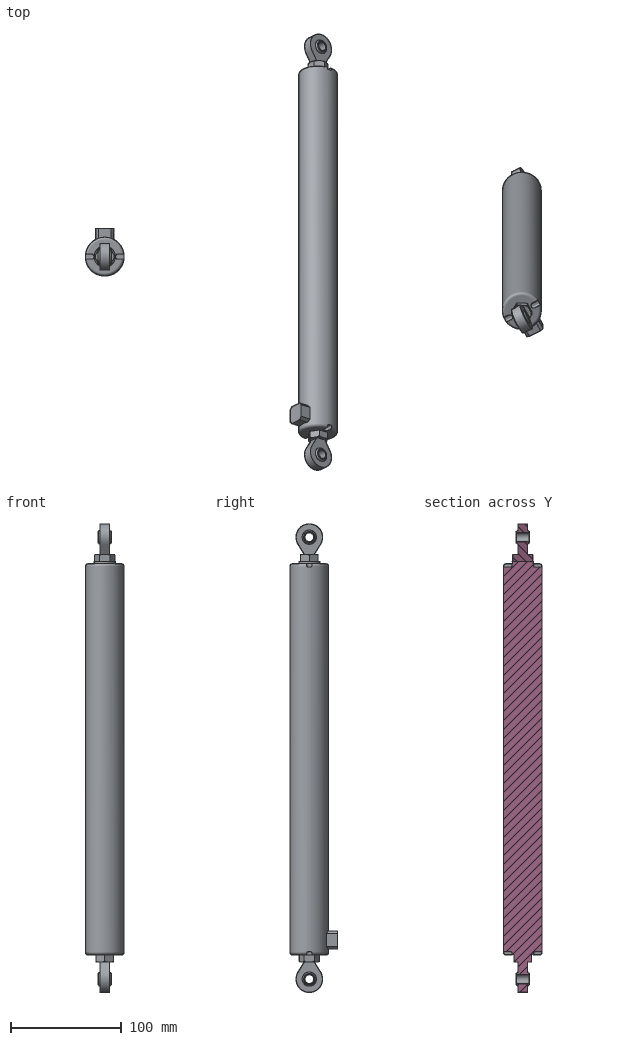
import cadquery as cq
import math

TOTAL_LENGTH = 424.0
TOTAL_DEPTH = 43.2

BARREL_DIAMETER = 35.0
BARREL_BOTTOM = 34.0
BARREL_TOP = 388.0
RIM_FILLET = 2.5
COLLAR_DIAMETER = 19.0
COLLAR_HEIGHT = 2.0

SLOT_WIDTH = 4.5
SLOT_DEPTH = 3.0
SLOT_INNER_RADIUS = 9.7
SLOT_FLOOR_FILLET = 1.25

PORT_SIZE = 16.5
PORT_CORNER_CHAMFER = 2.5
PORT_CENTRE_Z = 47.5

HEX_FLATS = 16.0
HEX_HEIGHT = 6.5
HEX_CHAMFER = 1.0
LOWER_HEX_TURN = 90
UPPER_HEX_TURN = 0
EYE_DIAMETER = 24.0
EYE_THICKNESS = 9.0
NECK_WIDTH = 9.5
BALL_WIDTH = 12.0
BALL_FLAT_DIAMETER = 10.0
BALL_BORE = 8.0

BARREL_RADIUS = BARREL_DIAMETER / 2
PORT_REACH = TOTAL_DEPTH - BARREL_RADIUS
COLLAR_TOP = BARREL_TOP + COLLAR_HEIGHT
EYE_RADIUS = EYE_DIAMETER / 2
HEX_CORNERS = HEX_FLATS / math.cos(math.pi / 6)
BALL_RADIUS = math.hypot(BALL_WIDTH, BALL_FLAT_DIAMETER) / 2


def chamfered_hexagon(turn):
    """Hexagon standing on Z = 0, its corners turned off at the top; with no turn two corners lie on X."""
    prism = cq.Workplane("XY").polygon(6, HEX_CORNERS).extrude(HEX_HEIGHT)
    turned = (
        cq.Workplane("XY")
        .circle(HEX_CORNERS / 2 + HEX_CHAMFER)
        .extrude(HEX_HEIGHT)
        .edges(">Z")
        .chamfer(2 * HEX_CHAMFER)
    )
    return prism.intersect(turned).rotate((0, 0, 0), (0, 0, 1), turn)


def eye_plate(centre_z):
    """Flat eye whose straight flanks run tangentially from its rim down to the hexagon."""
    half_neck = NECK_WIDTH / 2
    drop = centre_z - HEX_HEIGHT
    foot_distance = math.hypot(half_neck, drop)
    tangent_angle = math.acos(EYE_RADIUS / foot_distance) - math.atan2(drop, half_neck)
    tangent_y = EYE_RADIUS * math.cos(tangent_angle)
    tangent_z = centre_z + EYE_RADIUS * math.sin(tangent_angle)
    return (
        cq.Workplane("YZ")
        .moveTo(-half_neck, HEX_HEIGHT)
        .lineTo(half_neck, HEX_HEIGHT)
        .lineTo(tangent_y, tangent_z)
        .threePointArc((0, centre_z + EYE_RADIUS), (-tangent_y, tangent_z))
        .close()
        .extrude(EYE_THICKNESS / 2, both=True)
    )


def bearing_ball(centre_z):
    """Bored ball with flat ends, turned about the X axis and standing proud of the eye on both sides."""
    half_width = BALL_WIDTH / 2
    return (
        cq.Workplane("XY")
        .moveTo(-half_width, BALL_BORE / 2)
        .lineTo(-half_width, BALL_FLAT_DIAMETER / 2)
        .threePointArc((0, BALL_RADIUS), (half_width, BALL_FLAT_DIAMETER / 2))
        .lineTo(half_width, BALL_BORE / 2)
        .close()
        .revolve(360, (0, 0, 0), (1, 0, 0))
        .translate((0, 0, centre_z))
    )


def rod_end(length, hex_turn):
    """Hexagon, eye and ball rising from Z = 0 to the given length."""
    centre_z = length - EYE_RADIUS
    bore = (
        cq.Workplane("YZ")
        .center(0, centre_z)
        .circle(BALL_BORE / 2)
        .extrude(BALL_WIDTH, both=True)
    )
    eye = eye_plate(centre_z).cut(bore).union(bearing_ball(centre_z))
    return chamfered_hexagon(hex_turn).union(eye)


def barrel():
    """Barrel with rounded rims and its top collar."""
    tube = (
        cq.Workplane("XY", origin=(0, 0, BARREL_BOTTOM))
        .circle(BARREL_RADIUS)
        .extrude(BARREL_TOP - BARREL_BOTTOM)
        .edges("%CIRCLE")
        .fillet(RIM_FILLET)
    )
    collar = cq.Workplane("XY", origin=(0, 0, BARREL_TOP)).circle(COLLAR_DIAMETER / 2).extrude(COLLAR_HEIGHT)
    return tube.union(collar)


def end_slot():
    """Round-nosed slot cutter along +X, centred on Z = 0, with rounded floor corners above and below."""
    nose_x = SLOT_INNER_RADIUS + SLOT_WIDTH / 2
    outline = (
        cq.Workplane("XY", origin=(0, 0, -SLOT_DEPTH))
        .moveTo(BARREL_DIAMETER, -SLOT_WIDTH / 2)
        .lineTo(nose_x, -SLOT_WIDTH / 2)
        .threePointArc((SLOT_INNER_RADIUS, 0), (nose_x, SLOT_WIDTH / 2))
        .lineTo(BARREL_DIAMETER, SLOT_WIDTH / 2)
        .close()
    )
    return outline.extrude(2 * SLOT_DEPTH).faces("|Z").edges("not(>X)").fillet(SLOT_FLOOR_FILLET)


def side_port():
    """Square port block with chamfered long edges, running from the barrel axis out to +Y."""
    return (
        cq.Workplane("XZ", origin=(0, 0, PORT_CENTRE_Z))
        .rect(PORT_SIZE, PORT_SIZE)
        .extrude(-PORT_REACH)
        .edges("|Y")
        .chamfer(PORT_CORNER_CHAMFER)
    )


lower_end = (
    rod_end(BARREL_BOTTOM, LOWER_HEX_TURN)
    .rotate((0, 0, 0), (1, 0, 0), 180)
    .translate((0, 0, BARREL_BOTTOM))
)
cylinder = barrel()
for end_z in (BARREL_BOTTOM, BARREL_TOP):
    for angle in (0, 180):
        slot = end_slot().rotate((0, 0, 0), (0, 0, 1), angle).translate((0, 0, end_z))
        cylinder = cylinder.cut(slot)
cylinder = cylinder.union(side_port()).union(lower_end)

piston_rod_end = rod_end(TOTAL_LENGTH - COLLAR_TOP, UPPER_HEX_TURN).translate((0, 0, COLLAR_TOP))

result = cq.Compound.makeCompound([cylinder.val(), piston_rod_end.val()])